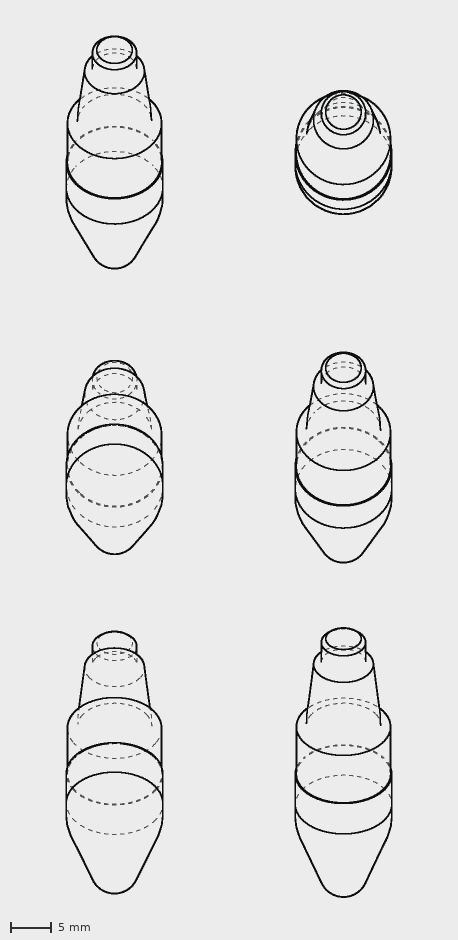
import cadquery as cq
import math

total_height = 39.7
nose_top_z = 13.75
collar_top_z = 18.5
barrel_top_z = 25.92
taper_top_z = 35.73

collar_radius = 12.0 / 2
barrel_radius = 11.7 / 2
taper_base_radius = 4.6
pin_radius = 5.5 / 2

tip_radius = 3.0
nose_half_angle = math.radians(20)
nose_shoulder_radius = 5.55

taper_half_angle = math.radians(6)
taper_blend_radius = 20.65

barrel_fillet = 0.3
pin_fillet = 0.48
pin_chamfer = 0.55


def point_on_arc(center, radius, angle):
    """Point at the given angle above the radial direction."""
    return (center[0] + radius * math.cos(angle), center[1] + radius * math.sin(angle))


def make_nose():
    """Solid of revolution with a round tip and a plain cylindrical rim."""
    tip_center = (0, tip_radius)
    tip_end = point_on_arc(tip_center, tip_radius, -nose_half_angle)
    tip_middle = point_on_arc(tip_center, tip_radius, -(math.pi / 2 + nose_half_angle) / 2)

    shoulder_center_r = collar_radius - nose_shoulder_radius
    shoulder_start_r = shoulder_center_r + nose_shoulder_radius * math.cos(nose_half_angle)
    shoulder_start_z = tip_end[1] + (shoulder_start_r - tip_end[0]) / math.tan(nose_half_angle)
    shoulder_center_z = shoulder_start_z + nose_shoulder_radius * math.sin(nose_half_angle)
    shoulder_center = (shoulder_center_r, shoulder_center_z)
    shoulder_middle = point_on_arc(shoulder_center, nose_shoulder_radius, -nose_half_angle / 2)

    profile = (
        cq.Workplane("XZ")
        .moveTo(0, 0)
        .threePointArc(tip_middle, tip_end)
        .lineTo(shoulder_start_r, shoulder_start_z)
        .threePointArc(shoulder_middle, (collar_radius, shoulder_center_z))
        .lineTo(collar_radius, nose_top_z)
        .lineTo(0, nose_top_z)
        .close()
    )
    return profile.revolve(360, (0, 0, 0), (0, 1, 0))


def make_holder():
    """Solid of revolution: collar, barrel, taper and end pin."""
    blend_start_z = barrel_top_z + barrel_fillet
    blend_center = (taper_base_radius - taper_blend_radius, blend_start_z)
    blend_middle = point_on_arc(blend_center, taper_blend_radius, taper_half_angle / 2)
    blend_end = point_on_arc(blend_center, taper_blend_radius, taper_half_angle)
    taper_top_radius = blend_end[0] - (taper_top_z - blend_end[1]) * math.tan(taper_half_angle)

    profile = (
        cq.Workplane("XZ")
        .moveTo(0, nose_top_z)
        .lineTo(collar_radius, nose_top_z)
        .lineTo(collar_radius, collar_top_z)
        .lineTo(barrel_radius, collar_top_z)
        .lineTo(barrel_radius, barrel_top_z)
        .lineTo(taper_base_radius + barrel_fillet, barrel_top_z)
        .radiusArc((taper_base_radius, blend_start_z), barrel_fillet)
        .threePointArc(blend_middle, blend_end)
        .lineTo(taper_top_radius, taper_top_z)
        .lineTo(pin_radius + pin_fillet, taper_top_z)
        .radiusArc((pin_radius, taper_top_z + pin_fillet), pin_fillet)
        .lineTo(pin_radius, total_height - pin_chamfer)
        .lineTo(pin_radius - pin_chamfer, total_height)
        .lineTo(0, total_height)
        .close()
    )
    return profile.revolve(360, (0, 0, 0), (0, 1, 0))


nose = make_nose()
holder = make_holder()

result = cq.Compound.makeCompound([nose.val(), holder.val()])